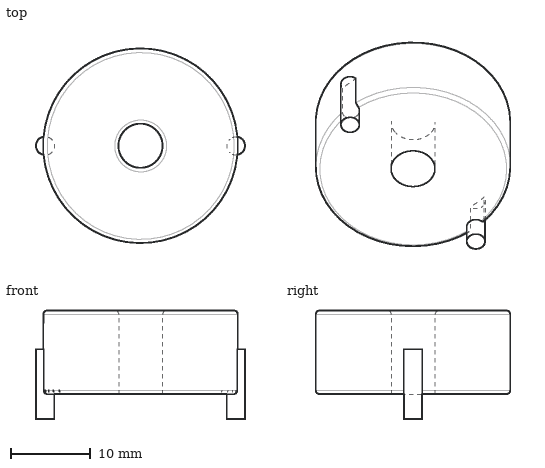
import cadquery as cq

overall_length = 26.2
body_diameter = 24.4
body_height = 10.48
hole_diameter = 5.5
edge_radius = 0.5
pin_diameter = 2.3
pin_drop = 3.12
pin_rise = 5.63

pin_offset = (overall_length - pin_diameter) / 2


def make_body():
    """Round body with rounded outer rims, standing on Z = 0."""
    body = cq.Workplane("XY").circle(body_diameter / 2).extrude(body_height)
    return body.edges("%CIRCLE").fillet(edge_radius)


def make_pins():
    """Two vertical pins, partly sunk into opposite sides of the body."""
    return (
        cq.Workplane("XY", origin=(0, 0, -pin_drop))
        .pushPoints([(-pin_offset, 0), (pin_offset, 0)])
        .circle(pin_diameter / 2)
        .extrude(pin_drop + pin_rise)
    )


def cut_center_hole(part):
    """Through hole with a rounded mouth on the top face."""
    drilled = part.cut(cq.Workplane("XY").circle(hole_diameter / 2).extrude(body_height))
    hole_rim = drilled.faces(">Z").edges(cq.selectors.RadiusNthSelector(0))
    return hole_rim.fillet(edge_radius)


result = cut_center_hole(make_body()).union(make_pins())